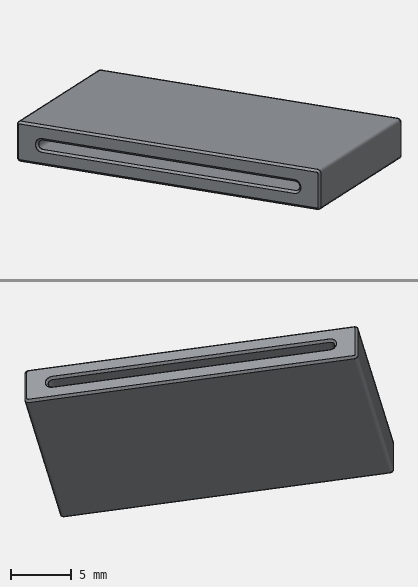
import cadquery as cq

length = 28.0
depth = 15.0
height = 3.5
corner_radius = 0.35
edge_chamfer = 0.2

slot_length = 24.08
slot_height = 0.8


def rounded_block():
    """Block with rounded edges along Y and bevelled end faces."""
    block = cq.Workplane("XY").box(length, depth, height)
    block = block.edges("|Y").fillet(corner_radius)
    return block.faces("<Y or >Y").edges().chamfer(edge_chamfer)


def slot_section(offset_y, margin):
    """Slot outline at the given Y, enlarged all round by the margin."""
    plane = cq.Workplane("XZ", origin=(0, offset_y, 0))
    return plane.slot2D(slot_length + 2 * margin, slot_height + 2 * margin)


def slot_cutter():
    """Straight slot that flares out at both end faces."""
    cutter = slot_section(depth / 2, 0).extrude(depth)
    front_mouth = slot_section(-depth / 2, edge_chamfer).extrude(-edge_chamfer, taper=45)
    back_mouth = front_mouth.mirror("XZ")
    return cutter.union(front_mouth).union(back_mouth)


result = rounded_block().cut(slot_cutter())